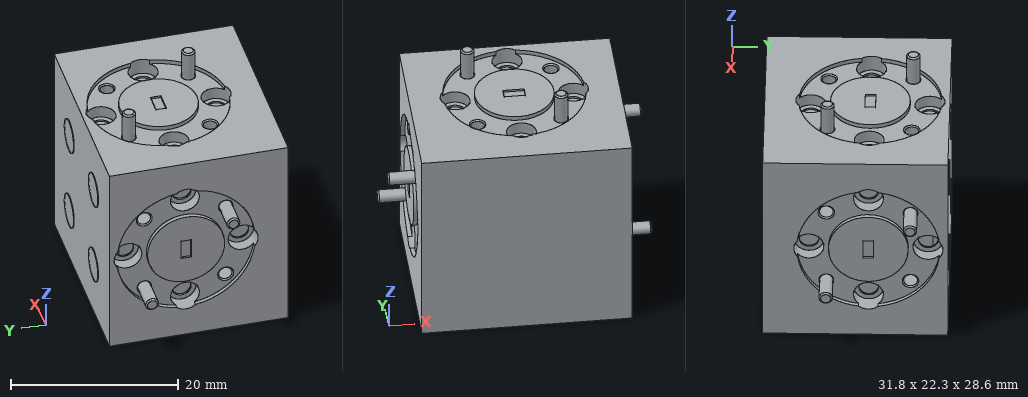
import cadquery as cq
import math

BLOCK_SIDE = 25.4
BLOCK_DEPTH = 22.2
BACK_Y = 9.52
FACE_DISTANCE = BLOCK_SIDE / 2

CORE_RADIUS = 10.47
CORE_END_WALL = 1.8

RECESS_RADIUS = 8.55
BOSS_RADIUS = 4.77
RECESS_DEPTH = 0.55
BOLT_CIRCLE_RADIUS = 7.13
COUNTERBORE_RADIUS = 1.78
COUNTERBORE_DEPTH = 2.07
BOLT_HOLE_RADIUS = 1.18
BOLT_HOLE_DEPTH = 2.32
DOWEL_OFFSET = BOLT_CIRCLE_RADIUS / math.sqrt(2)
DOWEL_HOLE_RADIUS = 0.83
DOWEL_HOLE_DEPTH = 4.45
DOWEL_HOLE_CHAMFER = 0.15
WAVEGUIDE_LENGTH = 2.55
WAVEGUIDE_WIDTH = 1.27
WAVEGUIDE_DEPTH = 0.25

PIN_RADIUS = 0.8
PIN_PROTRUSION = 3.2
PIN_CHAMFER = 0.2
PIN_GROOVE = 0.1

PAD_RADIUS = 2.13
PAD_THICKNESS = 0.1
PAD_OFFSET = 5.57

FLANGE_TURNS = [-90, 0, 90]
BOLT_POINTS = [
    (BOLT_CIRCLE_RADIUS, 0),
    (0, BOLT_CIRCLE_RADIUS),
    (-BOLT_CIRCLE_RADIUS, 0),
    (0, -BOLT_CIRCLE_RADIUS),
]
DOWEL_HOLE_POINTS = [(DOWEL_OFFSET, DOWEL_OFFSET), (-DOWEL_OFFSET, -DOWEL_OFFSET)]
PIN_POINTS = [(-DOWEL_OFFSET, DOWEL_OFFSET), (DOWEL_OFFSET, -DOWEL_OFFSET)]


def on_top(depth=0.0):
    """Workplane at a depth below the +Z face, centred on the flange axis."""
    return cq.Workplane("XY", origin=(0, 0, FACE_DISTANCE - depth))


def on_each_flange(shape):
    """A shape made at the +Z face, turned onto every flange face."""
    return [shape.rotate((0, 0, 0), (0, 1, 0), turn) for turn in FLANGE_TURNS]


def make_block():
    return cq.Workplane("XY").box(BLOCK_SIDE, BLOCK_DEPTH, BLOCK_SIDE).translate(
        (0, BACK_Y - BLOCK_DEPTH / 2, 0)
    )


def make_core():
    core_length = BLOCK_DEPTH - 2 * CORE_END_WALL
    plane = cq.Workplane("XZ", origin=(0, BACK_Y - CORE_END_WALL, 0))
    return plane.circle(CORE_RADIUS).extrude(core_length)


def make_flange_holes():
    """Bolt holes and dowel holes, down to the core where it is in their way."""
    bolt_holes = on_top().pushPoints(BOLT_POINTS).circle(BOLT_HOLE_RADIUS).extrude(-BOLT_HOLE_DEPTH)
    dowel_holes = (
        on_top().pushPoints(DOWEL_HOLE_POINTS).circle(DOWEL_HOLE_RADIUS).extrude(-DOWEL_HOLE_DEPTH)
    )
    return bolt_holes.union(dowel_holes).cut(make_core())


def make_countersinks(points, hole_radius, chamfer):
    """45 degree countersinks in the recess floor, as deep as they are wide."""
    mouths = on_top(RECESS_DEPTH).pushPoints(points).circle(hole_radius + chamfer)
    return mouths.extrude(-chamfer, taper=45)


def make_flange_pocket():
    """Ring recess around the boss, counterbores, countersinks and waveguide mouth."""
    recess = on_top().circle(RECESS_RADIUS).circle(BOSS_RADIUS).extrude(-RECESS_DEPTH)
    counterbores = (
        on_top().pushPoints(BOLT_POINTS).circle(COUNTERBORE_RADIUS).extrude(-COUNTERBORE_DEPTH)
    )
    dowel_chamfers = make_countersinks(DOWEL_HOLE_POINTS, DOWEL_HOLE_RADIUS, DOWEL_HOLE_CHAMFER)
    pin_grooves = make_countersinks(PIN_POINTS, PIN_RADIUS, PIN_GROOVE)
    waveguide = on_top().rect(WAVEGUIDE_LENGTH, WAVEGUIDE_WIDTH).extrude(-WAVEGUIDE_DEPTH)
    return recess.union(counterbores).union(dowel_chamfers).union(pin_grooves).union(waveguide)


def make_pins():
    """The pair of dowel pins of one flange, standing on the bottom of their grooves."""
    foot_depth = RECESS_DEPTH + PIN_GROOVE
    pins = on_top(foot_depth).pushPoints(PIN_POINTS).circle(PIN_RADIUS)
    return pins.extrude(foot_depth + PIN_PROTRUSION).faces(">Z").chamfer(PIN_CHAMFER)


def make_housing():
    housing = make_block()
    for cutter in on_each_flange(make_flange_holes()) + on_each_flange(make_flange_pocket()):
        housing = housing.cut(cutter)
    for pins in on_each_flange(make_pins()):
        housing = housing.union(pins)
    return housing


def make_pad(x, z):
    plane = cq.Workplane("XZ", origin=(x, BACK_Y, z))
    return plane.circle(PAD_RADIUS).extrude(-PAD_THICKNESS)


housing = make_housing()
pads = [make_pad(x, z) for x in (-PAD_OFFSET, PAD_OFFSET) for z in (-PAD_OFFSET, PAD_OFFSET)]

result = cq.Compound.makeCompound([housing.val(), *[pad.val() for pad in pads]])